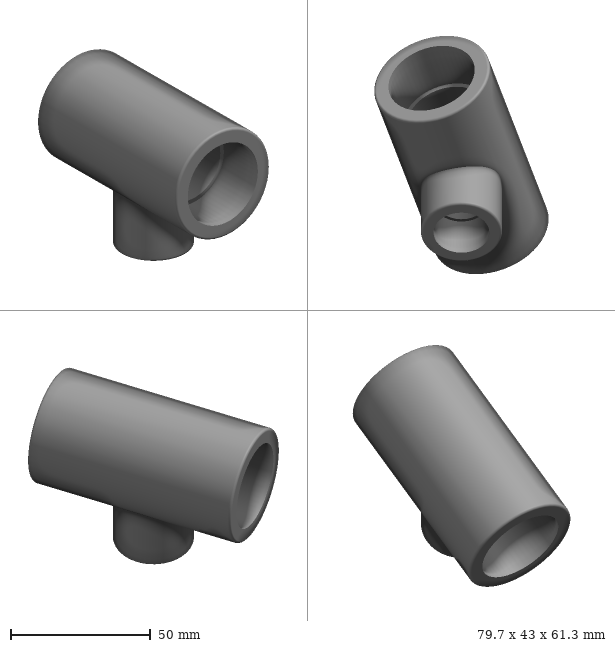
import cadquery as cq

run_length = 79.7
run_diameter = 43.0
run_socket_diameter = 32.0
run_bore_diameter = 28.8
run_socket_depth = 19.5

branch_diameter = 29.1
branch_reach = 39.8
branch_socket_diameter = 20.0
branch_bore_diameter = 17.8
branch_socket_depth = 15.95

edge_radius = 0.95


def run_cylinder(diameter, start_x, length):
    """Cylinder on the run axis, from start_x towards +X."""
    return cq.Workplane("YZ").workplane(offset=start_x).circle(diameter / 2).extrude(length)


def branch_cylinder(diameter, length):
    """Cylinder on the branch axis, from the branch end upwards."""
    return cq.Workplane("XY").workplane(offset=-branch_reach).circle(diameter / 2).extrude(length)


run = run_cylinder(run_diameter, -run_length / 2, run_length).edges().fillet(edge_radius)
branch = branch_cylinder(branch_diameter, branch_reach).faces("<Z").edges().fillet(edge_radius)
body = run.union(branch)

body = body.cut(run_cylinder(run_bore_diameter, -run_length / 2, run_length))
for socket_start in (-run_length / 2, run_length / 2 - run_socket_depth):
    body = body.cut(run_cylinder(run_socket_diameter, socket_start, run_socket_depth))

body = body.cut(branch_cylinder(branch_bore_diameter, branch_reach))
body = body.cut(branch_cylinder(branch_socket_diameter, branch_socket_depth))

result = body